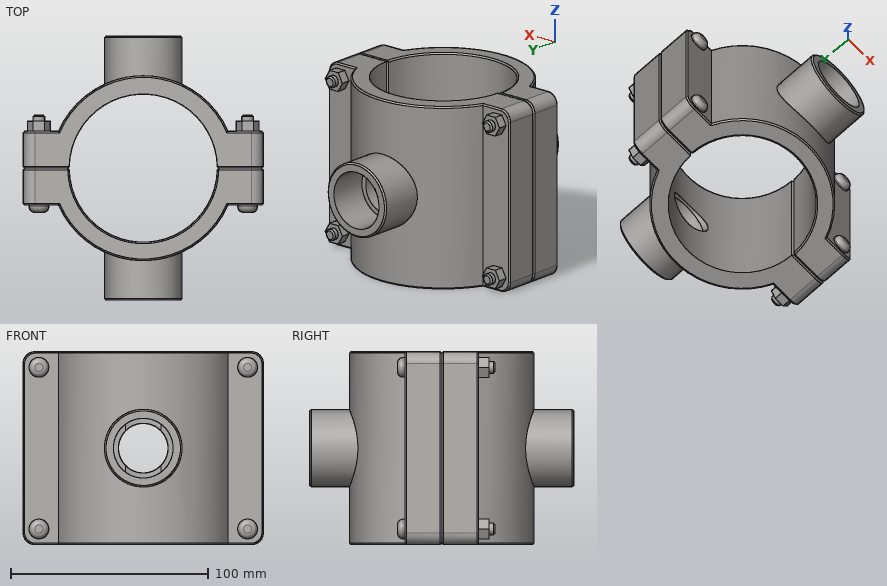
import cadquery as cq
import math

HEIGHT = 98.0
FLANGE_SPAN = 122.0
PORT_SPAN = 134.0

SHELL_RADIUS = 46.9
BORE_RADIUS = 37.5
FLANGE_DEPTH = 18.8
FLANGE_CORNER_RADIUS = 6.0
EDGE_CHAMFER = 0.8
FLANGE_ROOT_X = math.sqrt(SHELL_RADIUS**2 - FLANGE_DEPTH**2)

PORT_DIAMETER = 39.4
SOCKET_DIAMETER = 30.3
FRONT_SOCKET_FLOOR = 36.5
REAR_SOCKET_FLOOR = 38.9
OPENING_DIAMETER = 25.0
PORT_END = PORT_SPAN / 2
PORT_ROOT = (BORE_RADIUS + SHELL_RADIUS) / 2

SEAL_LENGTH = 6.5

BOLT_X = 52.9
BOLT_Z = 41.0
BOLT_DIAMETER = 6.0
BOLT_END = 27.0
BOLT_END_CHAMFER = 0.8
HEAD_DIAMETER = 10.0
HEAD_HEIGHT = 3.8
HEAD_FILLET = 3.0
NUT_FLATS = 10.0
NUT_HEIGHT = 5.1
NUT_CORNERS = NUT_FLATS / math.cos(math.pi / 6)
BOLT_POSITIONS = [(x, z) for x in (-BOLT_X, BOLT_X) for z in (-BOLT_Z, BOLT_Z)]

FRONT = -1
REAR = 1
TOLERANCE = 0.1


def rod(diameter, y_start, y_end, x=0, z=0):
    """Cylinder along Y between two Y positions."""
    return cq.Workplane("XZ", origin=(x, y_start, z)).circle(diameter / 2).extrude(y_start - y_end)


def flange_plate(side):
    """Plate with rounded corners, from the split plane to the bolting face."""
    return (
        cq.Workplane("XZ")
        .rect(FLANGE_SPAN, HEIGHT)
        .extrude(-side * FLANGE_DEPTH)
        .edges("|Y")
        .fillet(FLANGE_CORNER_RADIUS)
    )


def half_shell(side):
    """Solid half cylinder on one side of the split plane."""
    keep = cq.Workplane("XY").box(2 * SHELL_RADIUS, SHELL_RADIUS, HEIGHT)
    keep = keep.translate((0, side * SHELL_RADIUS / 2, 0))
    return cq.Workplane("XY").circle(SHELL_RADIUS).extrude(HEIGHT / 2, both=True).intersect(keep)


def chamfer_rims(body, side):
    """Chamfer the split faces, the bolting faces and the end rims of the shell.

    The inner corner of each flange stays sharp, and so does the bore rim of the rear half.
    """
    flange_edges = body.faces("|Y").edges().filter(
        lambda edge: abs(abs(edge.Center().x) - FLANGE_ROOT_X) > TOLERANCE
    )
    rim_radii = [SHELL_RADIUS, BORE_RADIUS] if side == FRONT else [SHELL_RADIUS]
    rim_edges = body.faces("|Z").edges("%CIRCLE").filter(
        lambda edge: any(abs(edge.radius() - radius) < TOLERANCE for radius in rim_radii)
    )
    return body.newObject(flange_edges.vals() + rim_edges.vals()).chamfer(EDGE_CHAMFER)


def add_port(body, side):
    """Stub with a flat-bottomed socket and a smaller opening into the main bore."""
    stub = rod(PORT_DIAMETER, side * PORT_ROOT, side * PORT_END)
    stub = stub.faces("<Y" if side == FRONT else ">Y").chamfer(EDGE_CHAMFER)
    opening = rod(OPENING_DIAMETER, 0, side * PORT_END)
    floor = FRONT_SOCKET_FLOOR if side == FRONT else REAR_SOCKET_FLOOR
    socket = rod(SOCKET_DIAMETER, side * floor, side * PORT_END)
    return body.union(stub).cut(opening).cut(socket)


def clamp_half(side):
    """One half of the clamp with its port, without fasteners."""
    bore = cq.Workplane("XY").circle(BORE_RADIUS).extrude(HEIGHT, both=True)
    body = flange_plate(side).union(half_shell(side)).cut(bore)
    body = chamfer_rims(body, side)
    return add_port(body, side)


def bolt_head(x, z):
    """Domed bolt head on the front bolting face."""
    head = rod(HEAD_DIAMETER, -FLANGE_DEPTH, -FLANGE_DEPTH - HEAD_HEIGHT, x, z)
    return head.faces("<Y").edges().fillet(HEAD_FILLET)


def nut_and_bolt_end(x, z):
    """Hexagonal nut on the rear bolting face with the bolt end passing through it."""
    bolt_end = rod(BOLT_DIAMETER, FLANGE_DEPTH, BOLT_END, x, z)
    bolt_end = bolt_end.faces(">Y").chamfer(BOLT_END_CHAMFER)
    nut = cq.Workplane("XZ", origin=(x, FLANGE_DEPTH, z)).polygon(6, NUT_CORNERS).extrude(-NUT_HEIGHT)
    return nut.union(bolt_end)


def build_front_half():
    """Front clamp half carrying the bolt heads."""
    body = clamp_half(FRONT)
    for x, z in BOLT_POSITIONS:
        body = body.union(bolt_head(x, z))
    return body


def build_rear_half():
    """Rear clamp half carrying the nuts and bolt ends."""
    body = clamp_half(REAR)
    for x, z in BOLT_POSITIONS:
        body = body.union(nut_and_bolt_end(x, z))
    return body


def build_seal_ring():
    """Ring resting on the socket floor of the rear port, flush with its opening."""
    ring = rod(SOCKET_DIAMETER, REAR_SOCKET_FLOOR, REAR_SOCKET_FLOOR + SEAL_LENGTH)
    return ring.cut(rod(OPENING_DIAMETER, 0, PORT_END))


front_half = build_front_half()
rear_half = build_rear_half()
seal_ring = build_seal_ring()

result = cq.Compound.makeCompound([front_half.val(), rear_half.val(), seal_ring.val()])